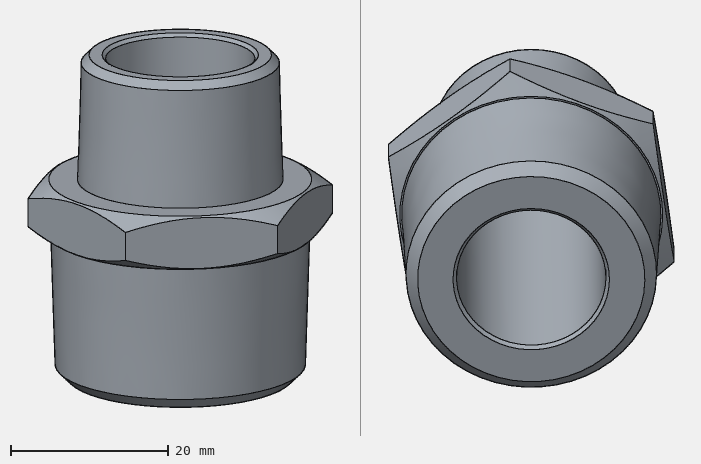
import cadquery as cq
import math

total_height = 42.5
hex_bottom = 18.95
hex_top = 26.0

across_flats = 34.0
across_corners = across_flats / math.cos(math.radians(30))
hex_face_diameter = 33.45
hex_chamfer_angle = 30.0

lower_root_diameter = 33.0
lower_tip_diameter = 31.88
lower_end_diameter = 28.9
lower_chamfer_height = 1.5
upper_root_diameter = 26.2
upper_tip_diameter = 25.25
upper_end_diameter = 23.2
upper_chamfer_height = 1.0

bore_diameter = 19.0
bore_mouth_diameter = 19.9
bore_chamfer = (bore_mouth_diameter - bore_diameter) / 2


def revolve_profile(points):
    """Revolve a closed (radius, height) outline around the Z axis."""
    return cq.Workplane("XZ").polyline(points).close().revolve(360, (0, 0, 0), (0, 1, 0))


def spigot(root_z, end_z, chamfer_height, root_diameter, tip_diameter, end_diameter):
    """Solid tapered spigot with a chamfered end."""
    tip_z = end_z - math.copysign(chamfer_height, end_z - root_z)
    return revolve_profile([
        (0, root_z),
        (root_diameter / 2, root_z),
        (tip_diameter / 2, tip_z),
        (end_diameter / 2, end_z),
        (0, end_z),
    ])


def hex_collar():
    """Hexagon with corners on the X axis, its corners turned off conically on both sides."""
    prism = (
        cq.Workplane("XY", origin=(0, 0, hex_bottom))
        .polygon(6, across_corners)
        .extrude(hex_top - hex_bottom)
    )
    face_radius = hex_face_diameter / 2
    corner_radius = across_corners / 2
    drop = (corner_radius - face_radius) * math.tan(math.radians(hex_chamfer_angle))
    envelope = revolve_profile([
        (0, hex_bottom),
        (face_radius, hex_bottom),
        (corner_radius, hex_bottom + drop),
        (corner_radius, hex_top - drop),
        (face_radius, hex_top),
        (0, hex_top),
    ])
    return prism.intersect(envelope)


def bore():
    """Through bore, countersunk at 45 degrees at both ends."""
    bore_radius = bore_diameter / 2
    mouth_radius = bore_mouth_diameter / 2
    return revolve_profile([
        (0, 0),
        (mouth_radius, 0),
        (bore_radius, bore_chamfer),
        (bore_radius, total_height - bore_chamfer),
        (mouth_radius, total_height),
        (0, total_height),
    ])


lower_spigot = spigot(
    hex_bottom, 0, lower_chamfer_height,
    lower_root_diameter, lower_tip_diameter, lower_end_diameter,
)
upper_spigot = spigot(
    hex_top, total_height, upper_chamfer_height,
    upper_root_diameter, upper_tip_diameter, upper_end_diameter,
)
result = hex_collar().union(lower_spigot).union(upper_spigot).cut(bore())